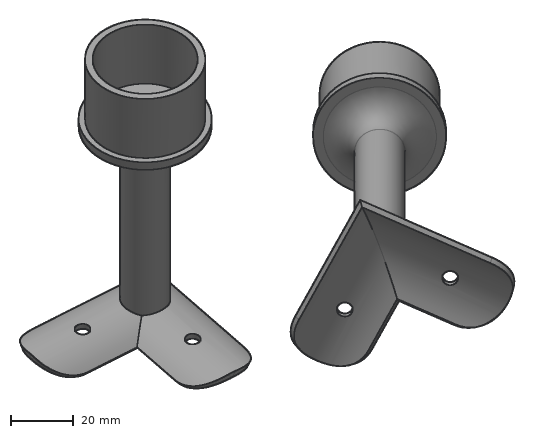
import cadquery as cq
import math

height = 107.1
cup_radius = 19.2
bore_radius = 16.7
flange_radius = 21.2
flange_top = 82.0
flange_thickness = 3.2
post_radius = 8.0
flare_radius = 10.0

leg_width = 27.2
leg_reach = 45.5
arch_radius = 23.2
leg_thickness = 2.1
tip_radius = 12.4
hole_diameter = 5.0
hole_offset = 25.1

half_width = leg_width / 2
edge_angle = math.asin(half_width / arch_radius)
inner_radius = arch_radius - leg_thickness
arch_center_z = -inner_radius * math.cos(edge_angle)
ridge_z = arch_center_z + arch_radius
flange_bottom = flange_top - flange_thickness


def arch_point(radius, angle):
    """Point (y, z) on an arch, with the angle measured from the ridge."""
    return (radius * math.sin(angle), arch_center_z + radius * math.cos(angle))


def arched_bar(profile):
    """Extrude a (y, z) profile along X and mitre its elbow end at 45 degrees."""
    bar = profile.extrude(half_width + leg_reach)
    mitre = (
        cq.Workplane("XY")
        .polyline([(-half_width, half_width), (leg_reach, half_width),
                   (leg_reach, -half_width), (half_width, -half_width)])
        .close()
        .extrude(height)
    )
    return bar.intersect(mitre)


def mitred_pair(leg):
    """Join a leg along +X to its mirror image along -Y."""
    other_leg = leg.mirror("XZ").rotate((0, 0, 0), (0, 0, 1), -90)
    return leg.union(other_leg)


def rounded_side(side):
    """Block whose outer face is one radial side of the arch, with its corner at the tip rounded."""
    length = half_width + leg_reach
    depth = 2 * leg_width
    block = (
        cq.Workplane("XY", origin=(0, 0, arch_center_z))
        .center(leg_reach - length / 2, -side * depth / 2)
        .rect(length, depth)
        .extrude(2 * arch_radius)
        .edges(cq.selectors.NearestToPointSelector((leg_reach, 0, arch_center_z + arch_radius)))
        .fillet(tip_radius)
    )
    tilt = -side * math.degrees(edge_angle)
    return block.rotate((0, 0, arch_center_z), (1, 0, arch_center_z), tilt)


def make_leg():
    """Curved strip along +X with a screw hole, its tip corners rounded square to the leg's sloping sides."""
    profile = (
        cq.Workplane("YZ", origin=(-half_width, 0, 0))
        .moveTo(*arch_point(arch_radius, -edge_angle))
        .threePointArc((0, ridge_z), arch_point(arch_radius, edge_angle))
        .lineTo(*arch_point(inner_radius, edge_angle))
        .threePointArc((0, arch_center_z + inner_radius), arch_point(inner_radius, -edge_angle))
        .close()
    )
    hole = cq.Workplane("XY").center(hole_offset, 0).circle(hole_diameter / 2).extrude(ridge_z)
    leg = arched_bar(profile).cut(hole)
    for side in (-1, 1):
        leg = leg.intersect(rounded_side(side))
    return leg


def make_saddle():
    """Solid space below the upper surface of the foot."""
    edge_y, edge_z = arch_point(arch_radius, edge_angle)
    profile = (
        cq.Workplane("YZ", origin=(-half_width, 0, 0))
        .moveTo(-edge_y, edge_z)
        .threePointArc((0, ridge_z), (edge_y, edge_z))
        .lineTo(edge_y, 0)
        .lineTo(-edge_y, 0)
        .close()
    )
    return mitred_pair(arched_bar(profile))


def make_holder():
    """Cup, flange, flare and post turned about Z, with the post end shaped to the foot."""
    flare_start_z = flange_bottom - flare_radius
    flare_end = post_radius + flare_radius
    flare_mid = flare_radius * math.sqrt(0.5)
    turned = (
        cq.Workplane("XZ")
        .moveTo(0, 0)
        .lineTo(post_radius, 0)
        .lineTo(post_radius, flare_start_z)
        .threePointArc((flare_end - flare_mid, flare_start_z + flare_mid), (flare_end, flange_bottom))
        .lineTo(flange_radius, flange_bottom)
        .lineTo(flange_radius, flange_top)
        .lineTo(cup_radius, flange_top)
        .lineTo(cup_radius, height)
        .lineTo(bore_radius, height)
        .lineTo(bore_radius, flange_top)
        .lineTo(0, flange_top)
        .close()
        .revolve(360, (0, 0, 0), (0, 1, 0))
    )
    return turned.cut(make_saddle())


foot = mitred_pair(make_leg())
holder = make_holder()

result = cq.Compound.makeCompound([*holder.solids().vals(), *foot.solids().vals()])